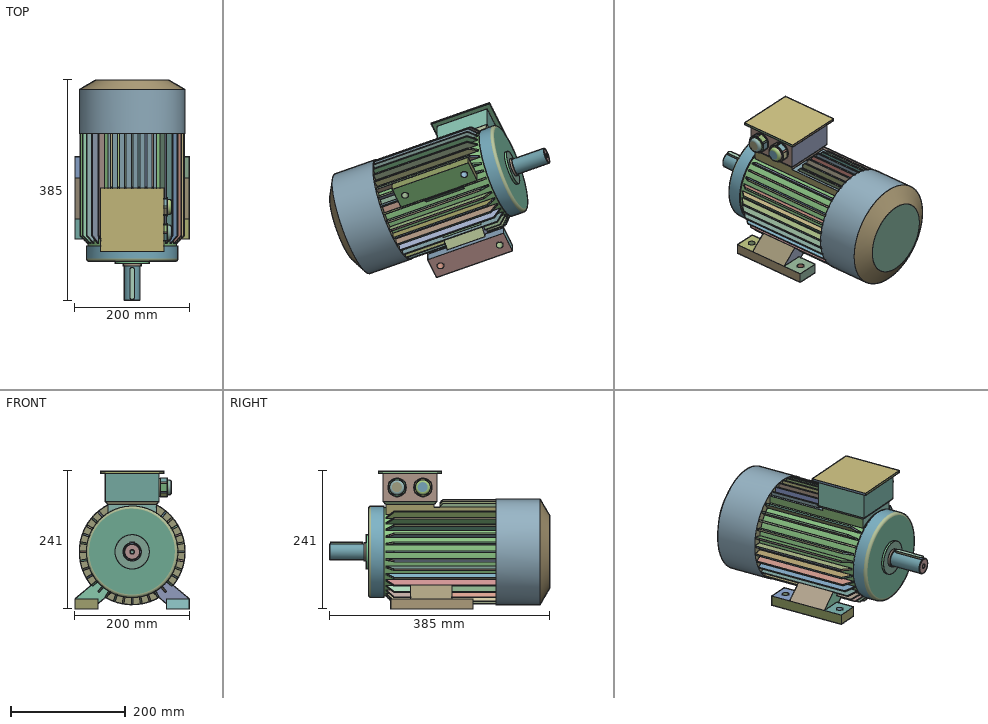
import cadquery as cq
import math


SHAFT_DIA = 28.0
SHAFT_CHAMFER = 0.93
SHOULDER_Y = 60.0
COLLAR_DIA = 32.0
CENTRE_HOLE_DIA = 6.65
CENTRE_HOLE_MOUTH_DIA = 8.0
CENTRE_HOLE_DEPTH = 20.0
DRILL_POINT_ANGLE = 118.0
KEY_WIDTH = 8.0
KEY_LENGTH = 56.0
KEY_START_Y = 1.5
KEY_HEIGHT = 7.0
KEY_TOP_Z = 17.0

BOSS_DIA = 60.0
BOSS_Y = 64.0
SHIELD_DIA = 160.0
SHIELD_FRONT_Y = 68.0
SHIELD_BACK_Y = 95.0
SHIELD_FILLET = 5.0
CORE_DIA = 155.0
COVER_DIA = 185.0
COVER_FRONT_Y = 291.0
COVER_TAPER_Y = 368.0
COVER_BACK_Y = 385.0
COVER_BACK_DIA = 127.0

FIN_RADIUS = 91.5
FIN_THICKNESS = 3.0
FIN_FRONT_Y = 99.0
FIN_PITCH_ANGLE = 10
FIN_START_ANGLE = 40
TOP_FIN_PITCH = 12.0
TOP_FIN_COUNT = 7
TOP_FIN_FRONT_Y = 193.0
TOP_FIN_CHAMFER = 5.0

BOX_CENTRE_Y = 140.7
LID_SIZE = 110.5
LID_TOP_Z = 141.0
LID_THICKNESS = 4.0
BOX_SIZE = 94.5
BOX_BOTTOM_Z = 88.0
NECK_SIZE = 84.5
NECK_TOP_Z = 82.5
SADDLE_TOP_Z = 78.0

GLAND_SPACING = 45.0
GLAND_Z = 112.5
GLAND_COLLAR_DIA = 32.0
INNER_COLLAR_LENGTH = 2.0
NUT_ACROSS_FLATS = 30.0
NUT_ROUND_DIA = 33.0
NUT_LENGTH = 11.5
OUTER_COLLAR_LENGTH = 0.7
CAP_DIA = 26.5
CAP_LENGTH = 7.2
CAP_FILLET = 4.5

AXIS_HEIGHT = 100.0
FEET_SPAN = 200.0
FOOT_WIDTH = 40.5
FOOT_LENGTH = 144.0
FOOT_THICKNESS = 18.0
FOOT_CENTRE_Y = 179.0
WEB_CENTRE_Y = 178.0
FOOT_HOLE_DIA = 12.0
FOOT_HOLE_SPAN_X = 160.0
FOOT_HOLE_SPAN_Y = 112.0
WEB_LENGTH_Y = 72.0
WEB_ANGLE = 40.0
WEB_REACH = 55.0
WEB_INNER_RISE = 9.5


def cylinder_y(diameter, start_y, end_y):
    """Round bar on the motor axis between two Y stations."""
    circle = cq.Workplane("XZ", origin=(0, start_y, 0)).circle(diameter / 2)
    return circle.extrude(start_y - end_y)


def box_between(size_x, start_y, end_y, bottom_z, top_z):
    """Block centred on X between the given Y and Z limits."""
    block = cq.Workplane("XY").box(size_x, end_y - start_y, top_z - bottom_z)
    return block.translate((0, (start_y + end_y) / 2, (bottom_z + top_z) / 2))


def make_shaft():
    shaft = cylinder_y(SHAFT_DIA, 0, SHOULDER_Y).faces("<Y").chamfer(SHAFT_CHAMFER)
    shaft = shaft.union(cylinder_y(COLLAR_DIA, SHOULDER_Y, BOSS_Y))
    key = (
        cq.Workplane("XY", origin=(0, KEY_START_Y + KEY_LENGTH / 2, KEY_TOP_Z - KEY_HEIGHT))
        .slot2D(KEY_LENGTH, KEY_WIDTH, 90)
        .extrude(KEY_HEIGHT)
    )
    return shaft.union(key)


def make_centre_hole():
    """Drilled hole in the shaft end with a 45 degree countersink and a conical bottom."""
    radius = CENTRE_HOLE_DIA / 2
    tip_depth = CENTRE_HOLE_DEPTH + radius / math.tan(math.radians(DRILL_POINT_ANGLE / 2))
    mouth_radius = CENTRE_HOLE_MOUTH_DIA / 2
    profile = [
        (0, 0),
        (mouth_radius, 0),
        (radius, mouth_radius - radius),
        (radius, CENTRE_HOLE_DEPTH),
        (0, tip_depth),
    ]
    return cq.Workplane("XY").polyline(profile).close().revolve(360, (0, 0), (0, 1))


def make_round_body():
    """Boss, front shield and cylindrical core."""
    boss = cylinder_y(BOSS_DIA, BOSS_Y, SHIELD_FRONT_Y)
    shield = cylinder_y(SHIELD_DIA, SHIELD_FRONT_Y, SHIELD_BACK_Y)
    shield = shield.faces("<Y").edges().fillet(SHIELD_FILLET)
    core = cylinder_y(CORE_DIA, SHIELD_BACK_Y, COVER_FRONT_Y)
    return core.union(shield).union(boss)


def make_fan_cover():
    profile = [
        (0, COVER_FRONT_Y),
        (COVER_DIA / 2, COVER_FRONT_Y),
        (COVER_DIA / 2, COVER_TAPER_Y),
        (COVER_BACK_DIA / 2, COVER_BACK_Y),
        (0, COVER_BACK_Y),
    ]
    return cq.Workplane("XY").polyline(profile).close().revolve(360, (0, 0), (0, 1))


def fin_plate(base_z, top_z, front_y, chamfer):
    """Upright fin in the YZ plane with its front top corner cut at 45 degrees."""
    profile = [
        (front_y, base_z),
        (front_y, top_z - chamfer),
        (front_y + chamfer, top_z),
        (COVER_FRONT_Y, top_z),
        (COVER_FRONT_Y, base_z),
    ]
    plate = cq.Workplane("YZ").polyline(profile).close()
    return plate.extrude(FIN_THICKNESS / 2, both=True)


def add_radial_fins(body):
    root_radius = CORE_DIA / 2
    root_overlap = 2.0
    fin = fin_plate(root_radius - root_overlap, FIN_RADIUS, FIN_FRONT_Y, FIN_RADIUS - root_radius)
    for angle in range(FIN_START_ANGLE, 360 - FIN_START_ANGLE + 1, FIN_PITCH_ANGLE):
        body = body.union(fin.rotate((0, 0, 0), (0, 1, 0), angle))
    return body


def add_top_fins(body):
    """Parallel upright fins on the saddle, their tops on the fin circle."""
    for index in range(TOP_FIN_COUNT):
        x = (index - (TOP_FIN_COUNT - 1) / 2) * TOP_FIN_PITCH
        top_z = math.sqrt(FIN_RADIUS**2 - x**2)
        fin = fin_plate(SADDLE_TOP_Z, top_z, TOP_FIN_FRONT_Y, TOP_FIN_CHAMFER)
        body = body.union(fin.translate((x, 0, 0)))
    return body


def make_terminal_box():
    """Saddle, neck, tapered base, box and lid, stacked upward."""
    neck_front_y = BOX_CENTRE_Y - NECK_SIZE / 2
    saddle = box_between(NECK_SIZE, neck_front_y, COVER_FRONT_Y, 0, SADDLE_TOP_Z)
    neck = box_between(NECK_SIZE, neck_front_y, neck_front_y + NECK_SIZE, 0, NECK_TOP_Z)
    taper = (
        cq.Workplane("XY", origin=(0, BOX_CENTRE_Y, NECK_TOP_Z))
        .rect(NECK_SIZE, NECK_SIZE)
        .workplane(offset=BOX_BOTTOM_Z - NECK_TOP_Z)
        .rect(BOX_SIZE, BOX_SIZE)
        .loft(ruled=True)
    )
    lid_bottom_z = LID_TOP_Z - LID_THICKNESS
    box = (
        cq.Workplane("XY", origin=(0, BOX_CENTRE_Y, BOX_BOTTOM_Z))
        .rect(BOX_SIZE, BOX_SIZE)
        .extrude(lid_bottom_z - BOX_BOTTOM_Z)
    )
    lid = (
        cq.Workplane("XY", origin=(0, BOX_CENTRE_Y, lid_bottom_z))
        .rect(LID_SIZE, LID_SIZE)
        .extrude(LID_THICKNESS)
    )
    return saddle.union(neck).union(taper).union(box).union(lid)


def make_gland(centre_y):
    """Collar, round-cornered hexagon nut, second collar and rounded cap along +X."""
    inner_collar_x = BOX_SIZE / 2
    nut_x = inner_collar_x + INNER_COLLAR_LENGTH
    outer_collar_x = nut_x + NUT_LENGTH
    cap_x = outer_collar_x + OUTER_COLLAR_LENGTH

    def disc(diameter, start_x, length):
        plane = cq.Workplane("YZ", origin=(start_x, centre_y, GLAND_Z))
        return plane.circle(diameter / 2).extrude(length)

    across_corners = NUT_ACROSS_FLATS / math.cos(math.radians(30))
    hexagon = (
        cq.Workplane("YZ", origin=(nut_x, centre_y, GLAND_Z))
        .transformed(rotate=(0, 0, 90))
        .polygon(6, across_corners)
        .extrude(NUT_LENGTH)
    )
    gland = hexagon.intersect(disc(NUT_ROUND_DIA, nut_x, NUT_LENGTH))
    gland = gland.union(disc(GLAND_COLLAR_DIA, inner_collar_x, INNER_COLLAR_LENGTH))
    gland = gland.union(disc(GLAND_COLLAR_DIA, outer_collar_x, OUTER_COLLAR_LENGTH))
    cap = disc(CAP_DIA, cap_x, CAP_LENGTH).faces(">X").edges().fillet(CAP_FILLET)
    return gland.union(cap)


def make_foot():
    """Foot on the +X side with its sloping web and two bolt holes."""
    outer_x = FEET_SPAN / 2
    inner_x = outer_x - FOOT_WIDTH
    foot_top_z = FOOT_THICKNESS - AXIS_HEIGHT
    pad = (
        cq.Workplane("XY", origin=(outer_x - FOOT_WIDTH / 2, FOOT_CENTRE_Y, -AXIS_HEIGHT))
        .rect(FOOT_WIDTH, FOOT_LENGTH)
        .extrude(FOOT_THICKNESS)
    )
    holes = (
        cq.Workplane("XY", origin=(FOOT_HOLE_SPAN_X / 2, FOOT_CENTRE_Y, -AXIS_HEIGHT))
        .pushPoints([(0, -FOOT_HOLE_SPAN_Y / 2), (0, FOOT_HOLE_SPAN_Y / 2)])
        .circle(FOOT_HOLE_DIA / 2)
        .extrude(FOOT_THICKNESS)
    )
    run = WEB_REACH * math.cos(math.radians(WEB_ANGLE))
    rise = WEB_REACH * math.sin(math.radians(WEB_ANGLE))
    web_inner_z = WEB_INNER_RISE - AXIS_HEIGHT
    profile = [
        (outer_x, foot_top_z),
        (outer_x - run, foot_top_z + rise),
        (inner_x - run, web_inner_z + rise),
        (inner_x, web_inner_z),
        (inner_x, foot_top_z),
    ]
    web = (
        cq.Workplane("XZ", origin=(0, WEB_CENTRE_Y, 0))
        .polyline(profile)
        .close()
        .extrude(WEB_LENGTH_Y / 2, both=True)
    )
    return pad.cut(holes).union(web)


def make_motor():
    motor = make_round_body().union(make_terminal_box())
    motor = add_radial_fins(motor)
    motor = add_top_fins(motor)
    motor = motor.union(make_fan_cover())
    for side in (-1, 1):
        motor = motor.union(make_gland(BOX_CENTRE_Y + side * GLAND_SPACING / 2))
    foot = make_foot()
    motor = motor.union(foot).union(foot.mirror("YZ"))
    return motor.union(make_shaft()).cut(make_centre_hole())


result = make_motor()